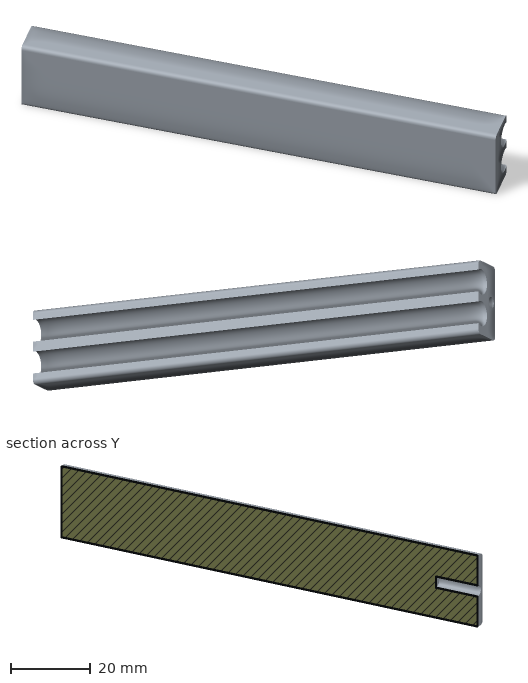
import cadquery as cq

length = 124.5
depth = 9.6
height = 19.0
edge_radius = 1.1

channel_diameter = 6.5
channel_spacing = 8.2
channel_inset = 1.6

hole_diameter = 2.9
hole_depth = 12.5
hole_inset = 2.2


def rod_from_left_end(diameter, rod_length, y, z):
    """Cylinder starting at the -X end face and running toward +X."""
    left_end = cq.Workplane("YZ", origin=(-length / 2, y, z))
    return left_end.circle(diameter / 2).extrude(rod_length)


result = cq.Workplane("XY").box(length, depth, height).edges("|X").fillet(edge_radius)

channel_y = depth / 2 - channel_inset
for side in (-1, 1):
    channel_z = side * channel_spacing / 2
    result = result.cut(rod_from_left_end(channel_diameter, length, channel_y, channel_z))

hole_y = -depth / 2 + hole_inset
result = result.cut(rod_from_left_end(hole_diameter, hole_depth, hole_y, 0))